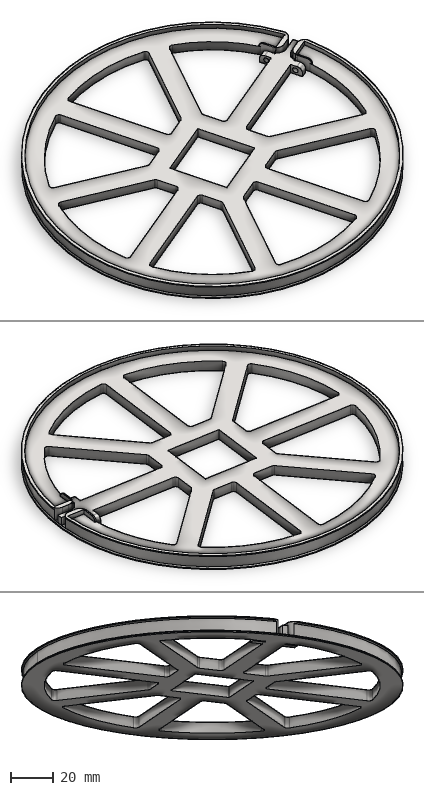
import cadquery as cq
import math

rim_radius = 90.7
total_height = 8.0
floor_height = 5.5
rim_wall = 1.6
ring_inner_radius = 79.8
groove_depth = 0.7
flange_edge_height = 0.5
flange_slope_height = 0.5

hub_width = 49.9
bore_width = 30.1
spoke_width = 10.3
spoke_count = 8
window_fillet = 1.8

split_half_width = 2.5
split_corner_radius = 4.0
tongue_half_width = 1.36

plate_front_y = 78.7
plate_thickness = 0.7
plate_half_width = 14.2
tab_front_y = 74.0
tab_thickness = 3.5
tab_half_width = 11.5
plate_corner_radius = 2.9
tab_hole_diameter = 2.9
tab_hole_x = 7.6
tab_hole_z = 2.7

half_spoke = spoke_width / 2

flank_centre_x = split_half_width + split_corner_radius
flank_centre_y = plate_front_y + split_corner_radius
flank_radius = flank_centre_x - tongue_half_width
tongue_root_y = flank_centre_y - flank_radius

groove_radius = rim_radius - groove_depth
rim_inner_radius = rim_radius - rim_wall
flange_height = flange_edge_height + flange_slope_height


def upright_box(half_width, front_y, thickness, height):
    """Box standing on the base plane, centred on X, with its near face at front_y."""
    box = cq.Workplane("XY").box(2 * half_width, thickness, height, centered=(True, False, False))
    return box.translate((0, front_y, 0))


def rounded_plate(half_width, front_y, thickness, height):
    """Upright plate with rounded upper corners."""
    plate = upright_box(half_width, front_y, thickness, height)
    return plate.edges("|Y and >Z").fillet(plate_corner_radius)


def disc(radius, height):
    """Solid disc on the base plane, centred on the wheel axis."""
    return cq.Workplane("XY").circle(radius).extrude(height)


def make_windows():
    """Openings between the hub and the ring, divided by the spokes."""
    windows = disc(ring_inner_radius, floor_height)
    windows = windows.cut(cq.Workplane("XY").rect(hub_width, hub_width).extrude(floor_height))
    spoke = cq.Workplane("XY").rect(2 * rim_radius, spoke_width).extrude(floor_height)
    for index in range(spoke_count // 2):
        windows = windows.cut(spoke.rotate((0, 0, 0), (0, 0, 1), index * 360 / spoke_count))
    return windows.edges("|Z").fillet(window_fillet)


def make_wheel():
    """Spoked floor with the rim wall and the solid material at both sides of the split."""
    rim = disc(rim_radius, total_height)
    recess = disc(rim_inner_radius, total_height - floor_height).translate((0, 0, floor_height))
    wheel = rim.cut(recess).cut(make_windows())
    wall_depth = rim_radius - plate_front_y
    split_walls = upright_box(half_spoke, plate_front_y, wall_depth, total_height).intersect(rim)
    backing_depth = ring_inner_radius - plate_front_y
    plate_backing = upright_box(plate_half_width, plate_front_y, backing_depth, floor_height)
    plate = rounded_plate(plate_half_width, plate_front_y, plate_thickness, total_height)
    return wheel.union(split_walls).union(plate_backing).union(plate)


def make_groove():
    """Groove around the outside, its sides sloping out to the edges of the two flanges."""
    profile = [
        (rim_radius, flange_edge_height),
        (groove_radius, flange_height),
        (groove_radius, total_height - flange_height),
        (rim_radius, total_height - flange_edge_height),
    ]
    return cq.Workplane("XZ").polyline(profile).close().revolve(360, (0, 0, 0), (0, 1, 0))


def point_on_circle(centre_x, centre_y, radius, angle):
    """Point on a circle, at an angle in degrees from +X."""
    radians = math.radians(angle)
    return (centre_x + radius * math.cos(radians), centre_y + radius * math.sin(radians))


def mirrored_pair(right_half):
    """Join a solid on the +X side with its mirror image on the -X side."""
    return right_half.union(right_half.mirror("YZ"))


def make_split():
    """Split through the rim above the lower flange, its corners rounded into the rim and the plates."""
    corner_x = split_half_width + split_corner_radius
    corner_reach = rim_radius - split_corner_radius
    corner_y = math.sqrt(corner_reach**2 - corner_x**2)
    rim_angle = math.degrees(math.atan2(corner_y, corner_x))
    corner_start = point_on_circle(corner_x, corner_y, split_corner_radius, rim_angle)
    corner_middle = point_on_circle(corner_x, corner_y, split_corner_radius, (rim_angle + 180) / 2)
    flank_middle = point_on_circle(flank_centre_x, flank_centre_y, split_corner_radius, 225)
    right_half = (
        cq.Workplane("XY", origin=(0, 0, flange_height))
        .moveTo(0, rim_radius)
        .lineTo(corner_start[0], rim_radius)
        .lineTo(*corner_start)
        .threePointArc(corner_middle, (split_half_width, corner_y))
        .lineTo(split_half_width, flank_centre_y)
        .threePointArc(flank_middle, (flank_centre_x, plate_front_y))
        .lineTo(half_spoke, plate_front_y)
        .lineTo(half_spoke, tongue_root_y)
        .lineTo(0, tongue_root_y)
        .close()
        .extrude(total_height - flange_height)
    )
    return mirrored_pair(right_half)


def make_tongue():
    """End of the spoke inside the split, its flanks curving in to a narrow strip."""
    start_angle = 180 + math.degrees(math.acos((flank_centre_x - half_spoke) / flank_radius))
    flank_start = point_on_circle(flank_centre_x, flank_centre_y, flank_radius, start_angle)
    flank_middle = point_on_circle(flank_centre_x, flank_centre_y, flank_radius, (start_angle + 180) / 2)
    right_half = (
        cq.Workplane("XY")
        .moveTo(0, tongue_root_y)
        .lineTo(half_spoke, tongue_root_y)
        .lineTo(*flank_start)
        .threePointArc(flank_middle, (tongue_half_width, flank_centre_y))
        .lineTo(tongue_half_width, rim_radius)
        .lineTo(0, rim_radius)
        .close()
        .extrude(floor_height)
    )
    return mirrored_pair(right_half).intersect(disc(groove_radius, floor_height))


def make_tabs():
    """Pair of tabs across the spoke, each with a hole along Y."""
    tabs = rounded_plate(tab_half_width, tab_front_y, tab_thickness, floor_height)
    holes = (
        cq.Workplane("XZ", origin=(0, tab_front_y, 0))
        .pushPoints([(-tab_hole_x, tab_hole_z), (tab_hole_x, tab_hole_z)])
        .circle(tab_hole_diameter / 2)
        .extrude(-tab_thickness)
    )
    return tabs.cut(holes)


wheel = make_wheel().cut(make_groove()).cut(make_split())
wheel = wheel.union(make_tongue()).union(make_tabs())
result = wheel.cut(cq.Workplane("XY").rect(bore_width, bore_width).extrude(floor_height))